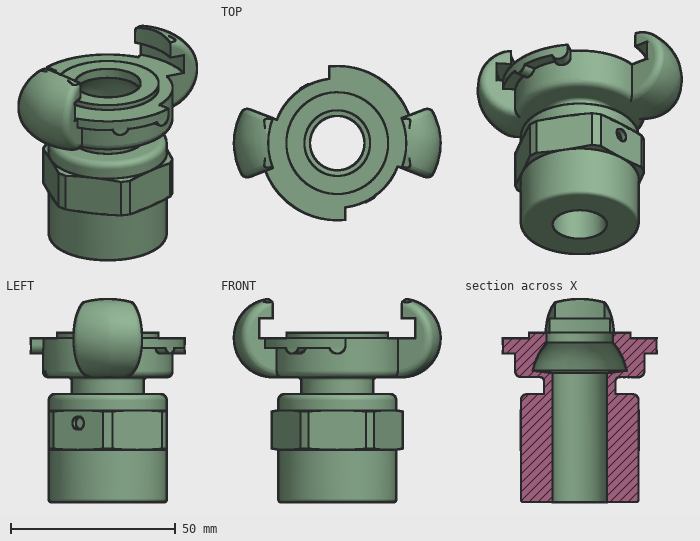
import cadquery as cq
import math

HEX_BOTTOM = 16.0
HEX_TOP = 28.0
NUT_TOP = 33.0
DISC_BOTTOM = 38.0
DISC_TOP = 50.0
SEAL_TOP = 51.6

NUT_DIAMETER = 36.0
NUT_BOTTOM_ROUND = 1.0
NUT_TOP_ROUND = 2.0
NECK_DIAMETER = 22.0
NECK_ROUND = 1.0
DISC_DIAMETER = 39.5
DISC_ROUND = 2.0
SEAL_DIAMETER = 31.0

HEX_ACROSS_FLATS = 36.0
HEX_CORNER_DIAMETER = 40.0
HEX_CHAMFER_DROP = 0.35

SIDE_HOLE_DIAMETER = 4.0
SIDE_HOLE_DEPTH = 2.0
SIDE_HOLE_HEIGHT = 24.1
SIDE_HOLE_ANGLE = 150.0

BORE_DIAMETER = 16.5
MOUTH_DIAMETER = 20.0
MOUTH_DEPTH = 3.0
CHAMBER_DIAMETER = 28.5
CHAMBER_WALL_RADIUS = 18.0
SEAT_TOP = SEAL_TOP - 11.5
SEAT_DROP = 0.75

CLAW_TIP_RADIUS = 31.5
CLAW_SECTION_RADIUS = 12.0
CLAW_CENTER_HEIGHT = DISC_BOTTOM + CLAW_SECTION_RADIUS
CLAW_BARREL_RADIUS = 20.0
CLAW_HALF_ANGLE = 21.2
CLAW_ROOT = 14.0
CLAW_EDGE_ROUND = 2.0
LIP_RADIUS = 21.0
SLOT_RADIUS = 25.4
SLOT_HEIGHT = 6.0
TIP_ARCH_RADIUS = 27.0

FLANGE_RADIUS = 23.5
FLANGE_THICKNESS = 3.0
DETENT_RADIUS = 2.5
DETENT_CENTER_HEIGHT = DISC_TOP - 2.25
DETENT_ANGLES = (0.0, 36.0)


def cylinder(radius, bottom, top):
    return cq.Workplane("XY").workplane(offset=bottom).circle(radius).extrude(top - bottom)


def make_nut():
    barrel = cylinder(NUT_DIAMETER / 2, 0, NUT_TOP)
    barrel = barrel.faces("<Z").edges().fillet(NUT_BOTTOM_ROUND)
    barrel = barrel.faces(">Z").edges().fillet(NUT_TOP_ROUND)

    corner_to_corner = HEX_ACROSS_FLATS / math.cos(math.radians(30))
    hexagon = (
        cq.Workplane("XY")
        .workplane(offset=HEX_BOTTOM)
        .polygon(6, corner_to_corner)
        .extrude(HEX_TOP - HEX_BOTTOM)
    )
    flat_radius = HEX_ACROSS_FLATS / 2
    corner_radius = HEX_CORNER_DIAMETER / 2
    envelope = (
        cq.Workplane("XZ")
        .moveTo(0, HEX_BOTTOM)
        .lineTo(flat_radius, HEX_BOTTOM)
        .lineTo(corner_radius, HEX_BOTTOM + HEX_CHAMFER_DROP)
        .lineTo(corner_radius, HEX_TOP - HEX_CHAMFER_DROP)
        .lineTo(flat_radius, HEX_TOP)
        .lineTo(0, HEX_TOP)
        .close()
        .revolve()
    )
    return barrel.union(hexagon.intersect(envelope))


def make_head():
    disc = cylinder(DISC_DIAMETER / 2, DISC_BOTTOM, DISC_TOP)
    disc = disc.faces("<Z").edges().fillet(DISC_ROUND)
    seal = cylinder(SEAL_DIAMETER / 2, DISC_TOP, SEAL_TOP)

    neck_radius = NECK_DIAMETER / 2
    round_start = DISC_BOTTOM - NECK_ROUND
    neck = (
        cq.Workplane("XZ")
        .moveTo(0, NUT_TOP)
        .lineTo(neck_radius, NUT_TOP)
        .lineTo(neck_radius, round_start)
        .radiusArc((neck_radius + NECK_ROUND, DISC_BOTTOM), NECK_ROUND)
        .lineTo(0, DISC_BOTTOM)
        .close()
        .revolve()
    )
    return disc.union(seal).union(neck)


def make_tip_arch():
    """Long cylinder along X whose crown just touches the claw tip above the X axis."""
    lip_offset = LIP_RADIUS - (CLAW_TIP_RADIUS - CLAW_SECTION_RADIUS)
    crown_height = CLAW_CENTER_HEIGHT + math.sqrt(CLAW_SECTION_RADIUS**2 - lip_offset**2)
    return (
        cq.Workplane("YZ", origin=(0, 0, crown_height - TIP_ARCH_RADIUS))
        .circle(TIP_ARCH_RADIUS)
        .extrude(CLAW_TIP_RADIUS + CLAW_EDGE_ROUND)
    )


def make_claw():
    """Claw on the +X side."""
    barrel_axis = CLAW_TIP_RADIUS - CLAW_BARREL_RADIUS
    section_center = CLAW_TIP_RADIUS - CLAW_SECTION_RADIUS
    center_offset = section_center - barrel_axis
    half_chord = math.sqrt(CLAW_SECTION_RADIUS**2 - center_offset**2)
    barrel = (
        cq.Workplane("XZ", origin=(barrel_axis, 0, CLAW_CENTER_HEIGHT))
        .moveTo(0, -half_chord)
        .threePointArc((CLAW_BARREL_RADIUS, 0), (0, half_chord))
        .close()
        .revolve(360, (0, 0), (0, 1))
    )

    slope = math.tan(math.radians(CLAW_HALF_ANGLE))
    wedge_end = CLAW_TIP_RADIUS + CLAW_EDGE_ROUND
    wedge = (
        cq.Workplane("XY")
        .workplane(offset=CLAW_CENTER_HEIGHT - CLAW_SECTION_RADIUS)
        .polyline([
            (CLAW_ROOT, -CLAW_ROOT * slope),
            (wedge_end, -wedge_end * slope),
            (wedge_end, wedge_end * slope),
            (CLAW_ROOT, CLAW_ROOT * slope),
        ])
        .close()
        .extrude(2 * CLAW_SECTION_RADIUS)
    )
    claw = barrel.intersect(wedge)
    for side in (-1, 1):
        normal_angle = math.radians(side * (CLAW_HALF_ANGLE + 90))
        normal = cq.Vector(math.cos(normal_angle), math.sin(normal_angle), 0)
        side_face = claw.faces(cq.selectors.DirectionMinMaxSelector(normal))
        claw = side_face.edges("not <X").fillet(CLAW_EDGE_ROUND)

    slot_top = DISC_TOP + SLOT_HEIGHT
    claw_top = CLAW_CENTER_HEIGHT + CLAW_SECTION_RADIUS
    claw = claw.cut(cylinder(SLOT_RADIUS, DISC_TOP, slot_top))
    claw = claw.cut(cylinder(LIP_RADIUS, slot_top, claw_top))
    return claw.intersect(make_tip_arch())


def make_flange():
    """Flange on the -Y side, from its free end near the Y axis to the -X claw."""
    flange_bottom = DISC_TOP - FLANGE_THICKNESS
    claw_direction = math.radians(180 + CLAW_HALF_ANGLE)
    reach = 2 * FLANGE_RADIUS
    sector = (
        cq.Workplane("XY")
        .workplane(offset=flange_bottom)
        .polyline([
            (0, 0),
            (reach * math.cos(claw_direction), reach * math.sin(claw_direction)),
            (-reach, -reach),
            (0, -reach),
        ])
        .close()
        .extrude(FLANGE_THICKNESS)
    )
    detent = (
        cq.Workplane("XZ")
        .moveTo(-DETENT_RADIUS, DISC_TOP)
        .lineTo(-DETENT_RADIUS, DETENT_CENTER_HEIGHT)
        .threePointArc(
            (0, DETENT_CENTER_HEIGHT - DETENT_RADIUS),
            (DETENT_RADIUS, DETENT_CENTER_HEIGHT),
        )
        .lineTo(DETENT_RADIUS, DISC_TOP)
        .close()
        .extrude(reach)
    )
    flange = sector
    for angle in DETENT_ANGLES:
        flange = flange.union(detent.rotate((0, 0, 0), (0, 0, 1), -angle))
    limit = cylinder(FLANGE_RADIUS, DISC_BOTTOM, DISC_TOP)
    return flange.intersect(limit)


def make_bore():
    bore_radius = BORE_DIAMETER / 2
    mouth_radius = MOUTH_DIAMETER / 2
    chamber_radius = CHAMBER_DIAMETER / 2
    mouth_bottom = SEAL_TOP - MOUTH_DEPTH
    return (
        cq.Workplane("XZ")
        .lineTo(bore_radius, 0)
        .lineTo(bore_radius, SEAT_TOP - SEAT_DROP)
        .lineTo(chamber_radius, SEAT_TOP)
        .radiusArc((mouth_radius, mouth_bottom), -CHAMBER_WALL_RADIUS)
        .lineTo(mouth_radius, SEAL_TOP)
        .lineTo(0, SEAL_TOP)
        .close()
        .revolve()
    )


def make_side_hole():
    flat_distance = HEX_ACROSS_FLATS / 2
    return (
        cq.Workplane("YZ", origin=(flat_distance - SIDE_HOLE_DEPTH, 0, SIDE_HOLE_HEIGHT))
        .circle(SIDE_HOLE_DIAMETER / 2)
        .extrude(SIDE_HOLE_DEPTH)
        .rotate((0, 0, 0), (0, 0, 1), SIDE_HOLE_ANGLE)
    )


body = make_nut().union(make_head())
for turn in (0, 180):
    body = body.union(make_claw().rotate((0, 0, 0), (0, 0, 1), turn))
    body = body.union(make_flange().rotate((0, 0, 0), (0, 0, 1), turn))

result = body.cut(make_bore()).cut(make_side_hole())